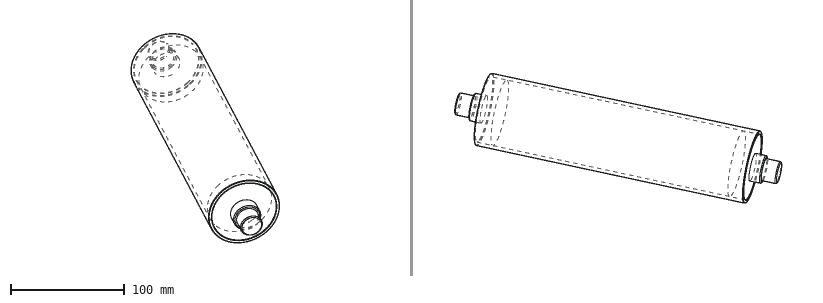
import cadquery as cq

overall_length = 293.0
tube_diameter = 65.0
tube_bore = 59.0
journal_diameter = 20.0
collar_diameter = 25.0

journal_length = 13.5
collar_length = 10.5
plug_length = 14.6
step_chamfer = 1.0
tube_chamfer = 0.5

tube_length = overall_length - 2 * (journal_length + collar_length)


def make_tube():
    """Tube, open at both ends, with chamfered rims."""
    return (
        cq.Workplane("YZ", origin=(-tube_length / 2, 0, 0))
        .circle(tube_diameter / 2)
        .circle(tube_bore / 2)
        .extrude(tube_length)
        .faces("<X or >X")
        .edges()
        .chamfer(tube_chamfer)
    )


def disc(diameter, start, length):
    """Round step from X = start towards +X."""
    return cq.Workplane("YZ", origin=(start, 0, 0)).circle(diameter / 2).extrude(length)


def chamfered_disc(diameter, start, length):
    """Round step with a chamfer on its outer (+X) rim."""
    return disc(diameter, start, length).faces(">X").edges().chamfer(step_chamfer)


def make_end_cap():
    """End cap for the +X end: plug flush with the tube, then collar, then journal."""
    tube_end = tube_length / 2
    collar_end = tube_end + collar_length
    plug = disc(tube_bore, tube_end - plug_length, plug_length)
    collar = chamfered_disc(collar_diameter, tube_end, collar_length)
    journal = chamfered_disc(journal_diameter, collar_end, journal_length)
    return plug.union(collar).union(journal)


tube = make_tube()

end_caps = []
for angle in (0, 180):
    end_cap = make_end_cap().rotate((0, 0, 0), (0, 0, 1), angle)
    end_caps.append(end_cap.val())

result = cq.Compound.makeCompound([tube.val(), *end_caps])